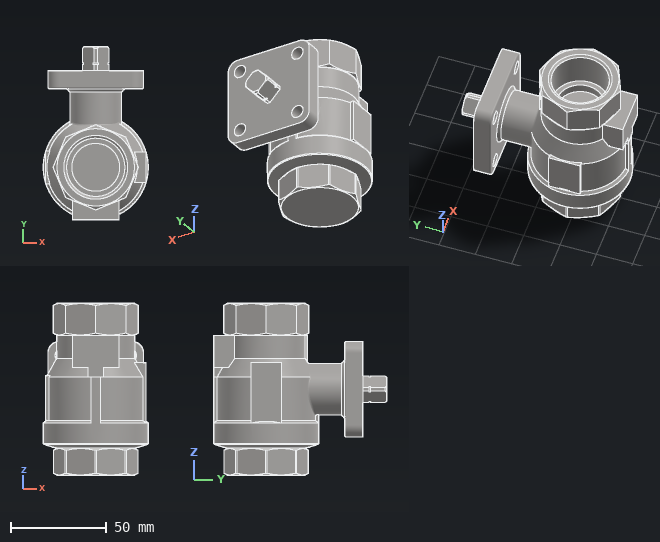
import cadquery as cq
import math

total_height = 90.0
total_length = 90.6
body_radius = 25.8
ring_radius = 27.5
ring_top = 27.4
ring_shoulder_height = 1.31
ring_shoulder_z = ring_top + ring_shoulder_height
ring_bottom = 16.6
ring_edge_break = 0.45
ring_cone_radius = 22.6
ring_cone_bottom = 14.7
body_top = 51.5
collar_radius = 20.5
collar_bottom = 61.2
upper_nut_bottom = 73.1
lower_nut_top = 14.2

nut_corner_radius = 22.3
lower_nut_turned_radius = 22.1
nut_face_radius = 20.2
nut_chamfer_angle = math.radians(30)
octagon_sides = 8

bore_radius = 15.2
bore_mouth_radius = 16.7
bore_mouth_depth = 0.8
bore_depth = 20.3
seat_radius = 12.5
seat_depth = 5.4

stem_axis_z = 44.98
neck_radius = 13.5
neck_flare_radius = 15.2
neck_flare_length = 1.7
neck_blend = 1.1
blend_clearance = 0.1
flange_near_y = 40.95
flange_thickness = 9.5
flange_far_y = flange_near_y + flange_thickness
flange_size = 50.0
flange_corner_radius = 6.0
flange_edge_round = 0.9
bolt_circle_radius = flange_size / 2
bolt_pitch = bolt_circle_radius * math.sqrt(2)
bolt_hole_diameter = 7.0
stem_square = 11.0
stem_corner_radius = 7.0
stem_tip_y = total_length - ring_radius
stem_tip_chamfer = 0.9
stem_groove_y = 54.2
stem_groove_width = 0.8
stem_groove_radius = 6.5
stem_groove_clearance = 0.9

lug_width = 24.5
lug_bottom = 56.35
lug_tab_width = 7.9
rib_width = 4.9
collar_rib_reach = 21.5
left_pad_reach = 26.3
left_pad_width = 17.2
left_pad_top = 52.1
right_pad_reach = 26.4
right_pad_width = 15.95
right_pad_top = 58.9


def box(x_range, y_range, z_range):
    """Axis-aligned block spanning the given limits."""
    size = [high - low for low, high in (x_range, y_range, z_range)]
    corner = (x_range[0], y_range[0], z_range[0])
    return cq.Workplane("XY").box(*size, centered=False).translate(corner)


def across_center(width):
    return (-width / 2, width / 2)


def along_y(y):
    """Workplane on the stem axis at the given Y, drawing towards +Y."""
    return cq.Workplane("XZ", origin=(0, y, stem_axis_z)).transformed(rotate=(180, 0, 0))


def turned(profile):
    """Solid of revolution about Z from (radius, height) points."""
    return cq.Workplane("XZ").polyline(profile).close().revolve(360, (0, 0), (0, 1))


def turned_body():
    return turned([
        (0, lower_nut_top),
        (collar_radius, lower_nut_top),
        (ring_cone_radius, ring_cone_bottom),
        (ring_radius - ring_edge_break, ring_bottom - ring_edge_break),
        (ring_radius, ring_bottom),
        (ring_radius, ring_top),
        (body_radius, ring_shoulder_z),
        (body_radius, body_top),
        (collar_radius, collar_bottom),
        (collar_radius, upper_nut_bottom),
        (0, upper_nut_bottom),
    ])


def nut(bottom, top, turned_radius):
    """Octagon with corners on the axes, turned down to a cone at both ends."""
    drop = (turned_radius - nut_face_radius) * math.tan(nut_chamfer_angle)
    octagon = (
        cq.Workplane("XY", origin=(0, 0, bottom))
        .polygon(octagon_sides, 2 * nut_corner_radius)
        .extrude(top - bottom)
    )
    envelope = turned([
        (0, bottom),
        (nut_face_radius, bottom),
        (turned_radius, bottom + drop),
        (turned_radius, top - drop),
        (nut_face_radius, top),
        (0, top),
    ])
    return octagon.intersect(envelope)


def port():
    """Cutter for the upper port, stepped down to a blind seat."""
    floor = total_height - bore_depth
    return turned([
        (0, total_height),
        (bore_mouth_radius, total_height),
        (bore_radius, total_height - bore_mouth_depth),
        (bore_radius, floor),
        (seat_radius, floor),
        (seat_radius, floor - seat_depth),
        (0, floor - seat_depth),
    ])


def body_with_neck():
    """Turned body and round neck, with a fillet where they meet."""
    neck = along_y(0).circle(neck_radius).extrude(flange_near_y)
    reach = neck_radius + blend_clearance
    joint = cq.selectors.BoxSelector(
        (-reach, collar_radius, stem_axis_z - reach),
        (reach, body_radius + blend_clearance, stem_axis_z + reach),
        boundingbox=True,
    )
    return turned_body().union(neck).edges(joint).fillet(neck_blend)


def neck_flare():
    """Short cone widening the neck where it meets the flange."""
    return (
        along_y(flange_near_y - neck_flare_length)
        .circle(neck_radius)
        .workplane(offset=neck_flare_length)
        .circle(neck_flare_radius)
        .loft()
    )


def flange():
    plate = (
        along_y(flange_near_y)
        .rect(flange_size, flange_size)
        .extrude(flange_thickness)
        .edges("|Y")
        .fillet(flange_corner_radius)
        .faces("<Y")
        .edges()
        .fillet(flange_edge_round)
    )
    holes = (
        along_y(flange_near_y)
        .rect(bolt_pitch, bolt_pitch, forConstruction=True)
        .vertices()
        .circle(bolt_hole_diameter / 2)
        .extrude(flange_thickness)
    )
    return plate.cut(holes)


def stem():
    """Square stem standing on its corner, with turned corners and a ring groove."""
    length = stem_tip_y - flange_far_y
    square = along_y(flange_far_y).rect(stem_square, stem_square).extrude(length)
    square = square.rotate((0, 0, stem_axis_z), (0, 1, stem_axis_z), 45)
    envelope = (
        along_y(flange_far_y)
        .circle(stem_corner_radius)
        .extrude(length)
        .faces(">Y")
        .chamfer(stem_tip_chamfer)
    )
    groove = (
        along_y(stem_groove_y - stem_groove_width / 2)
        .circle(stem_corner_radius + stem_groove_clearance)
        .circle(stem_groove_radius)
        .extrude(stem_groove_width)
    )
    return square.intersect(envelope).cut(groove)


def lug_and_ribs():
    """Front lug with its tab, and ribs on the front and rear of the body."""
    lug = box(across_center(lug_width), (-ring_radius, 0), (lug_bottom, upper_nut_bottom))
    tab = box(across_center(lug_tab_width), (-ring_radius, 0), (body_top, lug_bottom))
    ribs = box(across_center(rib_width), (-ring_radius, ring_radius), (ring_bottom, body_top))
    ribs = ribs.intersect(cq.Workplane("XY").circle(ring_radius).extrude(total_height))
    rear_rib = box(across_center(rib_width), (0, collar_rib_reach), (body_top, upper_nut_bottom))
    return lug.union(tab).union(ribs).union(rear_rib)


def pads():
    """Flat pads on the two sides of the body."""
    left = box((-left_pad_reach, 0), across_center(left_pad_width), (ring_shoulder_z, left_pad_top))
    right = box((0, right_pad_reach), across_center(right_pad_width), (ring_top, right_pad_top))
    return left.union(right)


result = (
    body_with_neck()
    .union(neck_flare())
    .union(lug_and_ribs())
    .union(pads())
    .union(nut(0, lower_nut_top, lower_nut_turned_radius))
    .union(nut(upper_nut_bottom, total_height, nut_corner_radius))
    .union(flange())
    .union(stem())
    .cut(port())
)